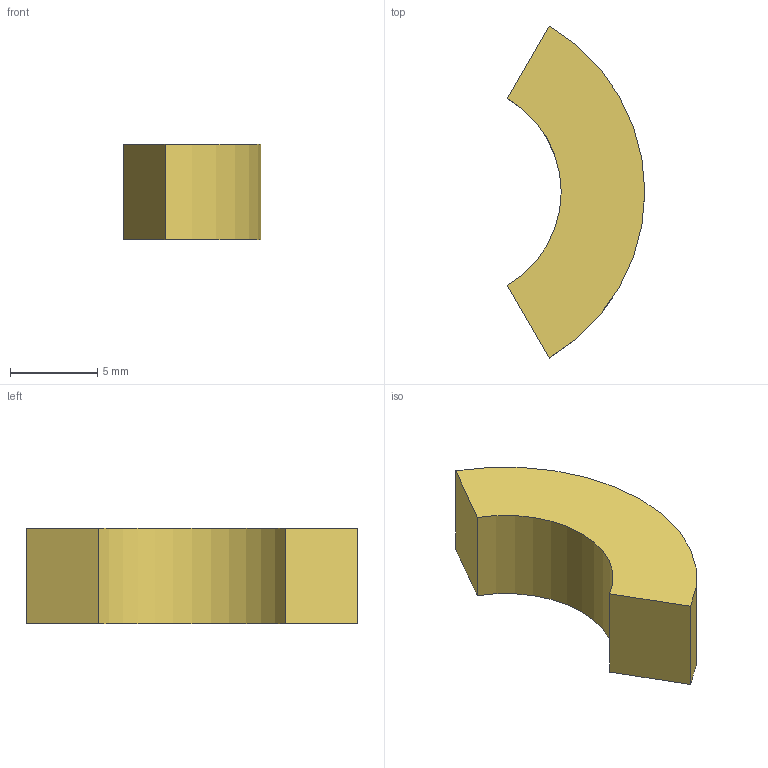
import cadquery as cq
import math

outer_radius = 11.0
inner_radius = 6.2
sweep_angle = 120.0
height = 5.5

half_angle = math.radians(sweep_angle / 2)


def ring_point(radius, angle):
    """Point at the given radius and angle (radians) from the +X axis."""
    return (radius * math.cos(angle), radius * math.sin(angle))


def ring_segment():
    """Annular sector with radial end faces, extruded up from Z = 0."""
    return (
        cq.Workplane("XY")
        .moveTo(*ring_point(inner_radius, -half_angle))
        .lineTo(*ring_point(outer_radius, -half_angle))
        .threePointArc((outer_radius, 0), ring_point(outer_radius, half_angle))
        .lineTo(*ring_point(inner_radius, half_angle))
        .threePointArc((inner_radius, 0), ring_point(inner_radius, -half_angle))
        .close()
        .extrude(height)
    )


result = ring_segment()